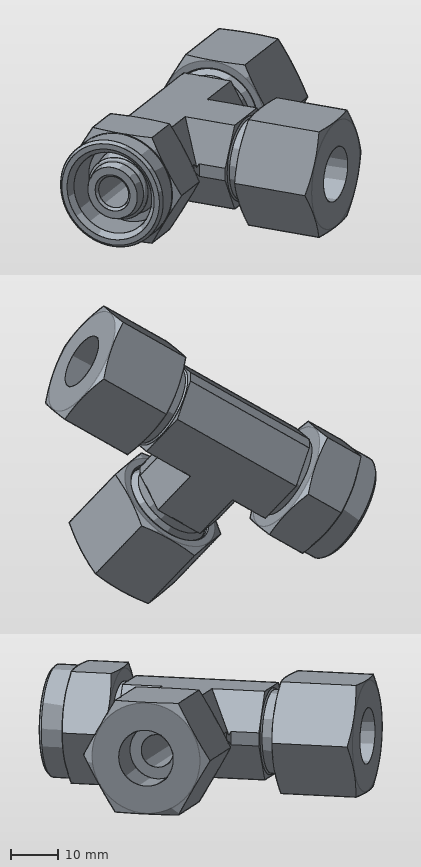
import cadquery as cq
import math


NUT_FLATS = 24.0
BODY_FLATS = 19.0
BODY_HALF_WIDTH = 10.2
BODY_END = 17.05
CONE_SIDE_END = 14.1
BORE_RADIUS = 3.5

PORT_END = 29.0
RELIEF_RADIUS = 8.85
RELIEF_ROOT = 0.35
RUNOUT_START = 19.5
RUNOUT_ANGLE = 30
THREAD_RADIUS = 9.95

CAP_NUT_START = 20.35
CAP_NUT_END = 38.0
CAP_NUT_MOUTH_RADIUS = 10.25
TUBE_HOLE_RADIUS = 6.0

SWIVEL_START = 15.6
SWIVEL_HEX_END = 25.55
SWIVEL_END = 30.7
SWIVEL_BORE_RADIUS = 9.1
SWIVEL_MOUTH_RADIUS = 10.2
COLLAR_CHAMFER = 0.6

HEX_CHAMFER_ANGLE = 17
HEX_CHAMFER_RADIUS = 11.8

CONE_TIP_RADIUS = 5.8
CONE_HALF_ANGLE = 12
CONE_BASE_RADIUS = 7.35
CONE_TIP_DEPTH = 0.95
CONE_BORE_CHAMFER = 0.55
RING_WIRE_RADIUS = 0.75
RING_RADIUS = 6.1
GROOVE_OFFSET = 2.1

CONE_TIP = SWIVEL_END - CONE_TIP_DEPTH
CONE_SLOPE = math.tan(math.radians(CONE_HALF_ANGLE))
CONE_BASE = CONE_TIP - (CONE_BASE_RADIUS - CONE_TIP_RADIUS) / CONE_SLOPE
RING_POSITION = CONE_TIP - GROOVE_OFFSET - RING_WIRE_RADIUS

REAR = 0
SIDE = -90
FRONT = 180


def corner_radius(flats):
    """Radius to the corners of a hexagon of the given width across flats."""
    return flats / math.sqrt(3)


def revolve(profile):
    """Revolve a closed (radius, height) profile about Z."""
    return cq.Workplane("XZ").polyline(profile).close().revolve(360, (0, 0, 0), (0, 1, 0))


def cylinder(radius, start, end):
    return cq.Workplane("XY").workplane(offset=start).circle(radius).extrude(end - start)


def hex_bar(flats, start, end):
    """Hexagonal bar along Z with two corners on the X axis."""
    bar = cq.Workplane("XY").workplane(offset=start)
    return bar.polygon(6, 2 * corner_radius(flats)).extrude(end - start)


def place(shape, turn):
    """Lay a shape built along +Z onto +Y, then turn it about Z onto its branch."""
    laid = shape.rotate((0, 0, 0), (1, 0, 0), -90)
    return laid.rotate((0, 0, 0), (0, 0, 1), turn)


def chamfered_hex(start, end):
    """Nut hexagon whose corners are turned off conically at both ends."""
    corner = corner_radius(NUT_FLATS)
    drop = (corner - HEX_CHAMFER_RADIUS) * math.tan(math.radians(HEX_CHAMFER_ANGLE))
    envelope = revolve([
        (0, start),
        (HEX_CHAMFER_RADIUS, start),
        (corner, start + drop),
        (corner, end - drop),
        (HEX_CHAMFER_RADIUS, end),
        (0, end),
    ])
    return hex_bar(NUT_FLATS, start, end).intersect(envelope)


def tee_block():
    """Two crossing hexagonal bars, trimmed to a T outline with bevelled inner corners."""
    w = BODY_HALF_WIDTH
    bevel_end = corner_radius(BODY_FLATS)
    through_bar = place(hex_bar(BODY_FLATS, -CONE_SIDE_END, BODY_END), REAR)
    side_bar = place(hex_bar(BODY_FLATS, 0, BODY_END), SIDE)
    outline = cq.Workplane("XY").polyline([
        (-w, -CONE_SIDE_END),
        (w, -CONE_SIDE_END),
        (w, -bevel_end),
        (bevel_end, -w),
        (BODY_END, -w),
        (BODY_END, w),
        (bevel_end, w),
        (w, bevel_end),
        (w, BODY_END),
        (-w, BODY_END),
    ]).close()
    return through_bar.union(side_bar).intersect(outline.extrude(BODY_FLATS / 2, both=True))


def threaded_port():
    """Stub with a thread relief and a conical run-out up to the thread."""
    runout_height = (THREAD_RADIUS - RELIEF_RADIUS) / math.tan(math.radians(RUNOUT_ANGLE))
    return revolve([
        (0, 0),
        (RELIEF_RADIUS + RELIEF_ROOT, 0),
        (RELIEF_RADIUS + RELIEF_ROOT, BODY_END),
        (RELIEF_RADIUS, BODY_END + RELIEF_ROOT),
        (RELIEF_RADIUS, RUNOUT_START),
        (THREAD_RADIUS, RUNOUT_START + runout_height),
        (THREAD_RADIUS, PORT_END),
        (0, PORT_END),
    ])


def sealing_cone():
    """Neck filling the swivel nut's bore, and a tapered nose with an O-ring groove."""
    nose = revolve([
        (0, 0),
        (SWIVEL_BORE_RADIUS, 0),
        (SWIVEL_BORE_RADIUS, CONE_BASE),
        (CONE_BASE_RADIUS, CONE_BASE),
        (CONE_TIP_RADIUS, CONE_TIP),
        (0, CONE_TIP),
    ])
    groove_start = RING_POSITION - RING_WIRE_RADIUS
    groove_end = RING_POSITION + RING_WIRE_RADIUS
    groove = cylinder(CONE_BASE_RADIUS, groove_start, groove_end)
    groove_floor = cylinder(RING_RADIUS - RING_WIRE_RADIUS, groove_start, groove_end)
    return nose.cut(groove.cut(groove_floor))


def through_bore():
    """Bore along the through axis, chamfered at the cone tip."""
    return revolve([
        (0, -PORT_END),
        (BORE_RADIUS, -PORT_END),
        (BORE_RADIUS, CONE_TIP - CONE_BORE_CHAMFER),
        (BORE_RADIUS + CONE_BORE_CHAMFER, CONE_TIP),
        (0, CONE_TIP),
    ])


def make_body():
    body = tee_block().union(place(sealing_cone(), FRONT))
    for turn in (REAR, SIDE):
        body = body.union(place(threaded_port(), turn))
    side_bore = cylinder(BORE_RADIUS, 0, PORT_END)
    return body.cut(place(through_bore(), FRONT)).cut(place(side_bore, SIDE))


def make_cap_nut(turn):
    """Nut screwed onto a threaded port, with a tube hole through its outer end."""
    mouth_depth = CAP_NUT_MOUTH_RADIUS - THREAD_RADIUS
    opening = revolve([
        (0, CAP_NUT_START),
        (CAP_NUT_MOUTH_RADIUS, CAP_NUT_START),
        (THREAD_RADIUS, CAP_NUT_START + mouth_depth),
        (THREAD_RADIUS, PORT_END),
        (TUBE_HOLE_RADIUS, PORT_END),
        (TUBE_HOLE_RADIUS, CAP_NUT_END),
        (0, CAP_NUT_END),
    ])
    return place(chamfered_hex(CAP_NUT_START, CAP_NUT_END).cut(opening), turn)


def make_swivel_nut():
    """Nut with a round collar at its open end and a chamfered mouth."""
    collar = cylinder(NUT_FLATS / 2, SWIVEL_HEX_END, SWIVEL_END).faces(">Z").chamfer(COLLAR_CHAMFER)
    opening = revolve([
        (0, SWIVEL_START),
        (SWIVEL_BORE_RADIUS, SWIVEL_START),
        (SWIVEL_BORE_RADIUS, SWIVEL_END - (SWIVEL_MOUTH_RADIUS - SWIVEL_BORE_RADIUS)),
        (SWIVEL_MOUTH_RADIUS, SWIVEL_END),
        (0, SWIVEL_END),
    ])
    nut = chamfered_hex(SWIVEL_START, SWIVEL_HEX_END).union(collar).cut(opening)
    return place(nut, FRONT)


def make_o_ring():
    """O-ring resting in the groove of the sealing cone."""
    wire = cq.Workplane("XZ").center(RING_RADIUS, RING_POSITION).circle(RING_WIRE_RADIUS)
    return place(wire.revolve(360, (-RING_RADIUS, 0, 0), (-RING_RADIUS, 1, 0)), FRONT)


body = make_body()
cap_nuts = [make_cap_nut(turn) for turn in (REAR, SIDE)]
swivel_nut = make_swivel_nut()
o_ring = make_o_ring()

result = cq.Compound.makeCompound([
    body.val(),
    *[nut.val() for nut in cap_nuts],
    swivel_nut.val(),
    o_ring.val(),
])